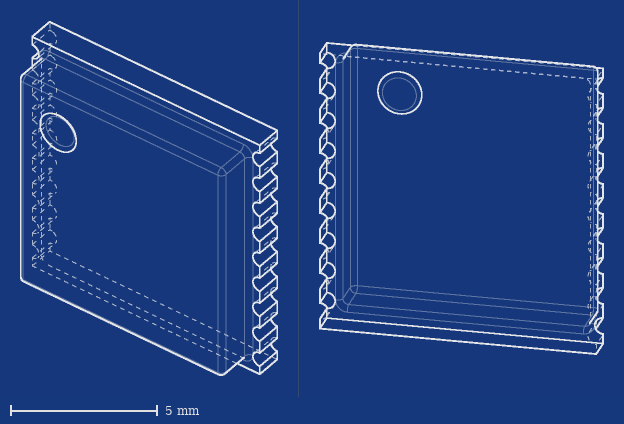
import cadquery as cq

BOARD_WIDTH = 9.7
BOARD_HEIGHT = 10.1
BOARD_THICKNESS = 1.0

TOTAL_DEPTH = 2.45
COVER_DEPTH = TOTAL_DEPTH - BOARD_THICKNESS
COVER_SIDE_MARGIN = 0.5
COVER_END_MARGIN = 0.49
COVER_WIDTH = BOARD_WIDTH - 2 * COVER_SIDE_MARGIN
COVER_HEIGHT = BOARD_HEIGHT - 2 * COVER_END_MARGIN
EDGE_RADIUS = 0.2

NOTCH_COUNT = 9
NOTCH_PITCH = 1.1
NOTCH_RADIUS = 0.29

DIMPLE_X = 2.2 - BOARD_WIDTH / 2
DIMPLE_Z = BOARD_HEIGHT / 2 - 2.19
DIMPLE_FLOOR_RADIUS = 0.6
DIMPLE_WALL_RADIUS = 0.2
DIMPLE_DEPTH = 0.1


def make_board():
    board = cq.Workplane("XZ").rect(BOARD_WIDTH, BOARD_HEIGHT).extrude(-BOARD_THICKNESS)
    first_notch_z = -NOTCH_PITCH * (NOTCH_COUNT - 1) / 2
    notch_centers = [
        (side * BOARD_WIDTH / 2, first_notch_z + NOTCH_PITCH * index)
        for side in (-1, 1)
        for index in range(NOTCH_COUNT)
    ]
    notches = cq.Workplane("XZ").pushPoints(notch_centers).circle(NOTCH_RADIUS).extrude(-BOARD_THICKNESS)
    return board.cut(notches)


def make_cover():
    cover = cq.Workplane("XZ").rect(COVER_WIDTH, COVER_HEIGHT).extrude(COVER_DEPTH)
    return cover.edges("|Y").fillet(EDGE_RADIUS).faces("<Y").edges().fillet(EDGE_RADIUS)


def round_cover_foot(body):
    """Fillet the inside corner where the cover wall meets the board face."""
    reach = 0.1
    near_foot = cq.selectors.BoxSelector(
        (-COVER_WIDTH / 2 - reach, -reach, -COVER_HEIGHT / 2 - reach),
        (COVER_WIDTH / 2 + reach, reach, COVER_HEIGHT / 2 + reach),
        boundingbox=True,
    )
    return body.edges(near_foot).fillet(EDGE_RADIUS)


def make_dimple_cutter():
    """A disc with a rounded inner edge, sunk into the cover by less than that rounding."""
    floor_y = -COVER_DEPTH + DIMPLE_DEPTH
    return (
        cq.Workplane("XZ", origin=(DIMPLE_X, floor_y, DIMPLE_Z))
        .circle(DIMPLE_FLOOR_RADIUS + DIMPLE_WALL_RADIUS)
        .extrude(2 * DIMPLE_WALL_RADIUS)
        .faces(">Y")
        .edges()
        .fillet(DIMPLE_WALL_RADIUS)
    )


body = round_cover_foot(make_board().union(make_cover()))
result = body.cut(make_dimple_cutter())